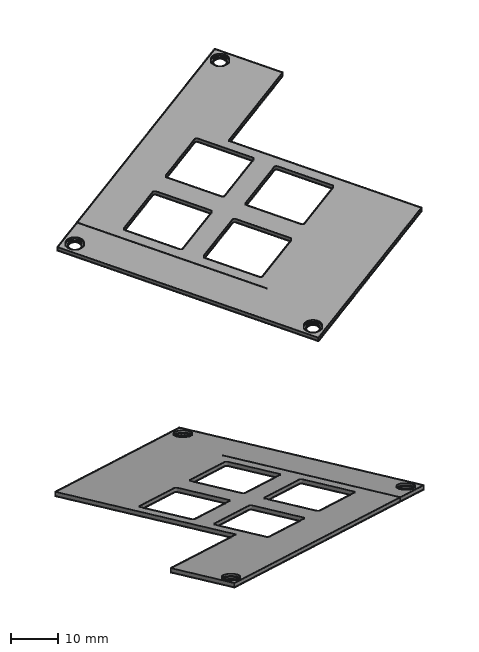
import cadquery as cq

plate_width = 62.4
plate_length = 71.7
plate_thickness = 1.0
tab_width = 16.3
pad_length = 47.0

window_size = 14.05
window_corner_radius = 0.5
window_pitch = 19.1
window_count = 2
first_window_left = 9.7
first_window_bottom = 11.5

hole_diameter = 3.0
counterbore_diameter = 4.0
counterbore_depth = plate_thickness / 2
pad_hole_inset = 2.7
tab_hole_inset = 2.65

slit_length = 45.4
slit_width = 0.1
slit_center_y = 8.9


def make_plate():
    """L-shaped plate with its lower-left corner at the origin."""
    return (
        cq.Workplane("XY")
        .moveTo(0, 0)
        .lineTo(plate_width, 0)
        .lineTo(plate_width, pad_length)
        .lineTo(tab_width, pad_length)
        .lineTo(tab_width, plate_length)
        .lineTo(0, plate_length)
        .close()
        .extrude(plate_thickness)
    )


def make_windows():
    """Cutters for the grid of rounded square windows."""
    grid_center_offset = (window_size + window_pitch * (window_count - 1)) / 2
    return (
        cq.Workplane("XY")
        .center(first_window_left + grid_center_offset, first_window_bottom + grid_center_offset)
        .rarray(window_pitch, window_pitch, window_count, window_count)
        .rect(window_size, window_size)
        .extrude(plate_thickness)
        .edges("|Z")
        .fillet(window_corner_radius)
    )


def cut_screw_holes(plate):
    """Counterbored holes from above: two at the lower corners and one at the top of the tab."""
    hole_centers = [
        (pad_hole_inset, pad_hole_inset),
        (plate_width - pad_hole_inset, pad_hole_inset),
        (tab_hole_inset, plate_length - tab_hole_inset),
    ]
    return (
        plate.faces(">Z")
        .workplane(origin=(0, 0, plate_thickness))
        .pushPoints(hole_centers)
        .cboreHole(hole_diameter, counterbore_diameter, counterbore_depth)
    )


def make_slit():
    """Cutter for the through slit, open at the left edge."""
    return (
        cq.Workplane("XY")
        .center(slit_length / 2, slit_center_y)
        .rect(slit_length, slit_width)
        .extrude(plate_thickness)
    )


plate_with_holes = cut_screw_holes(make_plate())
result = plate_with_holes.cut(make_windows()).cut(make_slit())